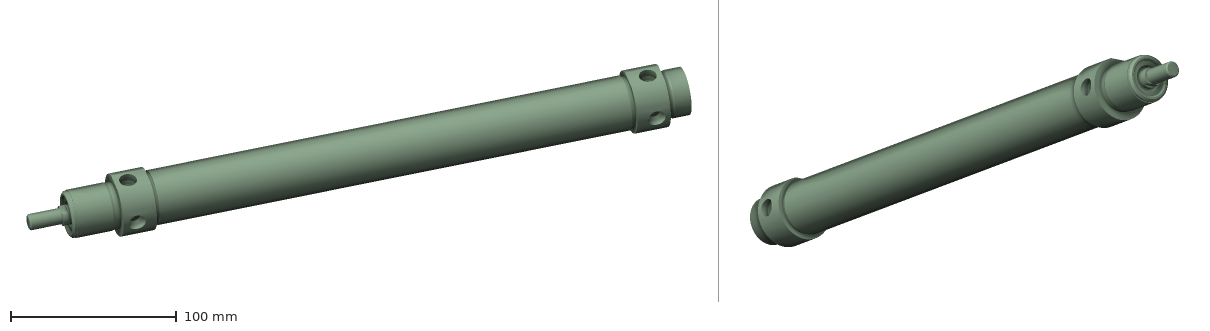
import cadquery as cq

TOTAL_LENGTH = 414.0
REAR_BOSS_LENGTH = 10.5
FRONT_BOSS_LENGTH = 25.5
RUNOUT_LENGTH = 1.2
REAR_RELIEF_LENGTH = 3.0
FRONT_RELIEF_LENGTH = 3.5
HEAD_LENGTH = 21.0
LIP_LENGTH = 2.5
COLLAR_LENGTH = 3.7
THREAD_LENGTH = 20.3

REAR_FACE = TOTAL_LENGTH / 2
REAR_BOSS_END = REAR_FACE - REAR_BOSS_LENGTH
REAR_RELIEF_START = REAR_BOSS_END - RUNOUT_LENGTH
REAR_HEAD_START = REAR_RELIEF_START - REAR_RELIEF_LENGTH
REAR_HEAD_END = REAR_HEAD_START - HEAD_LENGTH
TUBE_REAR = REAR_HEAD_END - LIP_LENGTH
ROD_TIP = -TOTAL_LENGTH / 2
COLLAR_START = ROD_TIP + THREAD_LENGTH
FRONT_FACE = COLLAR_START + COLLAR_LENGTH
FRONT_BOSS_END = FRONT_FACE + FRONT_BOSS_LENGTH
FRONT_RELIEF_START = FRONT_BOSS_END + RUNOUT_LENGTH
FRONT_HEAD_START = FRONT_RELIEF_START + FRONT_RELIEF_LENGTH
FRONT_HEAD_END = FRONT_HEAD_START + HEAD_LENGTH
TUBE_FRONT = FRONT_HEAD_END + LIP_LENGTH

HEAD_RADIUS = 19.5
HEAD_FLAT_HEIGHT = 18.2
BOSS_RADIUS = 15.0
RELIEF_RADIUS = 14.5
LIP_RADIUS = 16.0
TUBE_RADIUS = 17.0

NOSE_LENGTH = 3.0
NOSE_RADIUS = RELIEF_RADIUS
NOSE_CHAMFER = 1.2
RECESS_MOUTH_RADIUS = 12.0
RECESS_RADIUS = 11.0
RECESS_CHAMFER_DEPTH = 1.0
RECESS_DEPTH = 1.5
SEAL_MOUTH_RADIUS = 8.3
SEAL_FLOOR_RADIUS = 7.0
SEAL_DEPTH = 1.2

PORT_OFFSET = 8.5
PORT_RADIUS = 5.5
PORT_DEPTH = 5.0
PORT_FLOOR_RADIUS = 4.0
PORT_FLOOR_DEPTH = PORT_DEPTH + 2.0
DRILL_POINT_END = PORT_FLOOR_DEPTH + 2.5
PASSAGE_RADIUS = 1.5
PASSAGE_END = PORT_FLOOR_DEPTH + 4.0

ROD_RADIUS = 6.2
WRENCH_FLAT_HEIGHT = 5.0
THREAD_RADIUS = 5.0
THREAD_CHAMFER = 1.0
ROD_SOCKET_END = FRONT_HEAD_END


def turned(profile):
    """Solid turned about Y from (radius, y) points that start and end on the axis."""
    points = [(y, radius) for radius, y in profile]
    return cq.Workplane("YZ").polyline(points).close().revolve(360, (0, 0, 0), (1, 0, 0))


def round_bar(radius, y_start, y_end):
    return turned([(0, y_start), (radius, y_start), (radius, y_end), (0, y_end)])


def cut_head_flat(cap, head_y):
    height = HEAD_RADIUS - HEAD_FLAT_HEIGHT
    block = cq.Workplane("XY").box(2 * HEAD_RADIUS, HEAD_LENGTH, height, centered=(True, False, False))
    return cap.cut(block.translate((0, head_y, HEAD_FLAT_HEIGHT)))


def port_cutter(bottom):
    """Bore with a tapered end, going down from the origin; bottom lists (radius, depth) points beyond it."""
    profile = [(0, 0), (PORT_RADIUS, 0), (PORT_RADIUS, PORT_DEPTH), (PORT_FLOOR_RADIUS, PORT_FLOOR_DEPTH)]
    points = [(radius, -depth) for radius, depth in profile + bottom]
    return cq.Workplane("XZ").polyline(points).close().revolve(360, (0, 0, 0), (0, 1, 0))


def cut_ports(cap, port_y, top_bottom):
    """One port in the head's flat and one flat-bottomed port on each side."""
    top_cutter = port_cutter(top_bottom).translate((0, port_y, HEAD_FLAT_HEIGHT))
    cap = cap.cut(top_cutter)
    flat_bottom = [(0, PORT_FLOOR_DEPTH)]
    side_cutter = port_cutter(flat_bottom).translate((0, port_y, HEAD_RADIUS))
    for angle in (90, -90):
        cap = cap.cut(side_cutter.rotate((0, 0, 0), (0, 1, 0), angle))
    return cap


def make_rear_cap():
    cap = turned([
        (0, REAR_FACE),
        (BOSS_RADIUS, REAR_FACE),
        (BOSS_RADIUS, REAR_BOSS_END),
        (RELIEF_RADIUS, REAR_RELIEF_START),
        (RELIEF_RADIUS, REAR_HEAD_START),
        (HEAD_RADIUS, REAR_HEAD_START),
        (HEAD_RADIUS, REAR_HEAD_END),
        (LIP_RADIUS, REAR_HEAD_END),
        (LIP_RADIUS, TUBE_REAR),
        (0, TUBE_REAR),
    ])
    cap = cut_head_flat(cap, REAR_HEAD_END)
    drill_point = [(0, DRILL_POINT_END)]
    return cut_ports(cap, REAR_HEAD_START - PORT_OFFSET, drill_point)


def make_front_cap():
    cap = turned([
        (0, FRONT_FACE),
        (NOSE_RADIUS - NOSE_CHAMFER, FRONT_FACE),
        (NOSE_RADIUS, FRONT_FACE + NOSE_CHAMFER),
        (NOSE_RADIUS, FRONT_FACE + NOSE_LENGTH),
        (BOSS_RADIUS, FRONT_FACE + NOSE_LENGTH),
        (BOSS_RADIUS, FRONT_BOSS_END),
        (RELIEF_RADIUS, FRONT_RELIEF_START),
        (RELIEF_RADIUS, FRONT_HEAD_START),
        (HEAD_RADIUS, FRONT_HEAD_START),
        (HEAD_RADIUS, FRONT_HEAD_END),
        (LIP_RADIUS, FRONT_HEAD_END),
        (LIP_RADIUS, TUBE_FRONT),
        (0, TUBE_FRONT),
    ])
    cap = cut_head_flat(cap, FRONT_HEAD_START)
    passage = [(PASSAGE_RADIUS, PORT_FLOOR_DEPTH), (PASSAGE_RADIUS, PASSAGE_END), (0, PASSAGE_END)]
    cap = cut_ports(cap, FRONT_HEAD_START + PORT_OFFSET, passage)
    seal_mouth = FRONT_FACE + RECESS_DEPTH
    seal_floor = seal_mouth + SEAL_DEPTH
    bore = turned([
        (0, FRONT_FACE),
        (RECESS_MOUTH_RADIUS, FRONT_FACE),
        (RECESS_RADIUS, FRONT_FACE + RECESS_CHAMFER_DEPTH),
        (RECESS_RADIUS, seal_mouth),
        (SEAL_MOUTH_RADIUS, seal_mouth),
        (SEAL_FLOOR_RADIUS, seal_floor),
        (ROD_RADIUS, seal_floor),
        (ROD_RADIUS, ROD_SOCKET_END),
        (0, ROD_SOCKET_END),
    ])
    return cap.cut(bore)


def make_piston_rod():
    rod = turned([
        (0, ROD_TIP),
        (THREAD_RADIUS - THREAD_CHAMFER, ROD_TIP),
        (THREAD_RADIUS, ROD_TIP + THREAD_CHAMFER),
        (THREAD_RADIUS, COLLAR_START),
        (ROD_RADIUS, COLLAR_START),
        (ROD_RADIUS, ROD_SOCKET_END),
        (0, ROD_SOCKET_END),
    ])
    cut_height = ROD_RADIUS - WRENCH_FLAT_HEIGHT
    block = cq.Workplane("XY").box(2 * ROD_RADIUS, COLLAR_LENGTH, cut_height, centered=(True, False, False))
    flat_cutter = block.translate((0, COLLAR_START, WRENCH_FLAT_HEIGHT))
    for angle in (0, 180):
        rod = rod.cut(flat_cutter.rotate((0, 0, 0), (0, 1, 0), angle))
    return rod


rear_cap = make_rear_cap()
tube = round_bar(TUBE_RADIUS, TUBE_FRONT, TUBE_REAR)
front_cap = make_front_cap()
piston_rod = make_piston_rod()

result = cq.Compound.makeCompound([rear_cap.val(), tube.val(), front_cap.val(), piston_rod.val()])